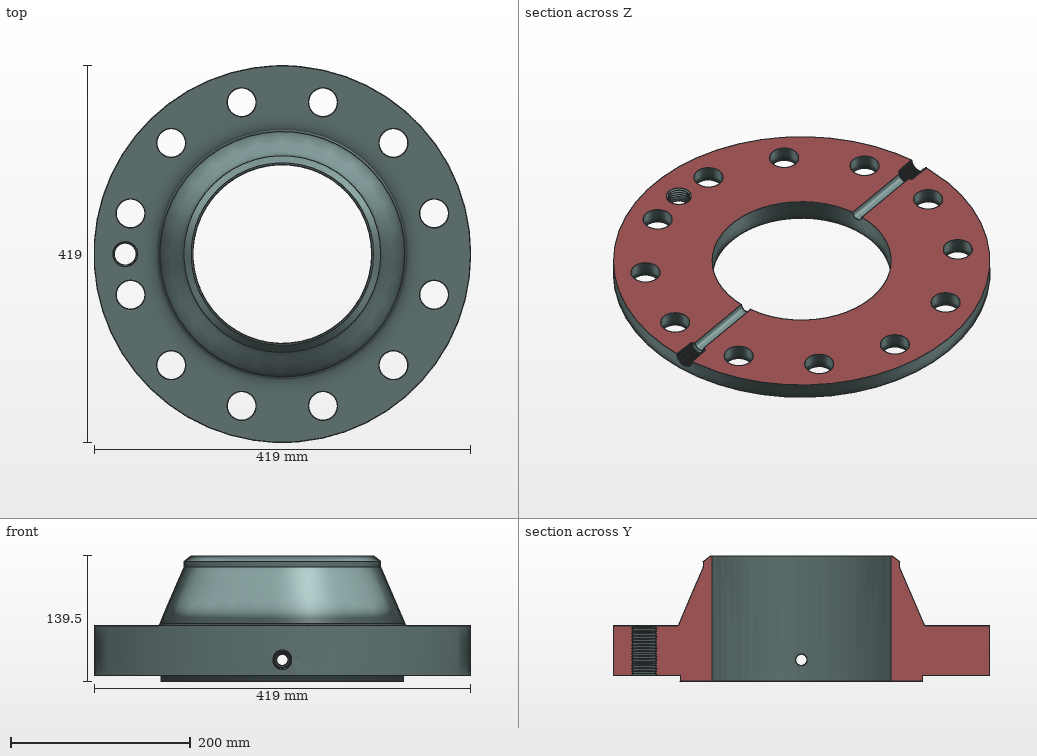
import cadquery as cq
import math

flange_radius = 209.5
flange_thickness = 55.7
raised_face_radius = 135.0
raised_face_height = 6.3
bore_radius = 99.5
overall_height = 139.5

hub_base_radius = 136.0
hub_fillet = 2.5
neck_radius = 109.5
neck_length = 6.3
bevel_height = 6.3
weld_land = 2.0

bolt_count = 12
bolt_circle_radius = 174.8
bolt_hole_diameter = 32.0

jack_major_radius = 14.0
jack_minor_radius = 12.0
jack_pitch = 3.2

tapping_height = 24.0
tapping_bore_radius = 6.3
tapping_major_radius = 11.0
tapping_thread_depth = 1.45
tapping_pitch = 1.8
tapping_thread_turns = 14
tapping_taper = 1 / 32

flange_top = raised_face_height + flange_thickness
bevel_bottom = overall_height - bevel_height


def flange_body():
    """Revolved plate, raised face, hub and weld end with the bore through them."""
    fillet_middle = hub_fillet * (1 - math.sqrt(0.5))
    return (
        cq.Workplane("XZ")
        .moveTo(bore_radius, 0)
        .lineTo(raised_face_radius, 0)
        .lineTo(raised_face_radius, raised_face_height)
        .lineTo(flange_radius, raised_face_height)
        .lineTo(flange_radius, flange_top)
        .lineTo(hub_base_radius + hub_fillet, flange_top)
        .threePointArc(
            (hub_base_radius + fillet_middle, flange_top + fillet_middle),
            (hub_base_radius, flange_top + hub_fillet),
        )
        .lineTo(neck_radius, bevel_bottom - neck_length)
        .lineTo(neck_radius, bevel_bottom)
        .lineTo(bore_radius + weld_land, overall_height)
        .lineTo(bore_radius, overall_height)
        .close()
        .revolve(360, (0, 0, 0), (0, 1, 0))
    )


def bolt_holes():
    first_angle = 180 / bolt_count
    return (
        cq.Workplane("XY")
        .polarArray(bolt_circle_radius, first_angle, 360, bolt_count)
        .circle(bolt_hole_diameter / 2)
        .extrude(flange_top)
    )


def threaded_cutter(major_radius, thread_depth, pitch, turns, taper=0.0):
    """Solid of V-shaped ring ridges, from the origin up along +Z, narrowing by the taper."""
    profile = cq.Workplane("XZ").lineTo(major_radius, 0)
    for turn in range(turns):
        crest = (turn + 0.5) * pitch
        root = (turn + 1) * pitch
        profile = profile.lineTo(major_radius - thread_depth - taper * crest, crest)
        profile = profile.lineTo(major_radius - taper * root, root)
    return profile.lineTo(0, turns * pitch).close().revolve(360, (0, 0, 0), (0, 1, 0))


def jack_screw_hole():
    turns = math.ceil(flange_thickness / jack_pitch)
    thread_depth = jack_major_radius - jack_minor_radius
    cutter = threaded_cutter(jack_major_radius, thread_depth, jack_pitch, turns)
    return cutter.rotate((0, 0, 0), (1, 0, 0), 180).translate((-bolt_circle_radius, 0, flange_top))


def pressure_tapping():
    """Cutter for the tapping on the -Y side, from the rim into the bore."""
    thread = threaded_cutter(
        tapping_major_radius, tapping_thread_depth, tapping_pitch, tapping_thread_turns, tapping_taper
    )
    thread_length = tapping_pitch * tapping_thread_turns
    cone_radius = tapping_major_radius - tapping_thread_depth - tapping_taper * thread_length
    cone_length = cone_radius - tapping_bore_radius
    cone = cq.Workplane("XY").add(
        cq.Solid.makeCone(cone_radius, tapping_bore_radius, cone_length, cq.Vector(0, 0, thread_length))
    )
    plain_bore = cq.Workplane("XY").circle(tapping_bore_radius).extrude(flange_radius)
    cutter = thread.union(cone).union(plain_bore)
    return cutter.rotate((0, 0, 0), (1, 0, 0), -90).translate((0, -flange_radius, tapping_height))


front_tapping = pressure_tapping()
rear_tapping = front_tapping.mirror("XZ")

result = (
    flange_body()
    .cut(bolt_holes())
    .cut(jack_screw_hole())
    .cut(front_tapping)
    .cut(rear_tapping)
)